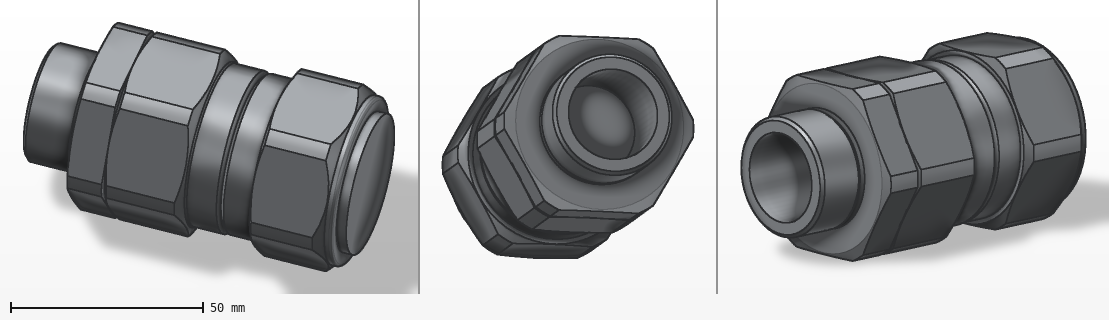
import cadquery as cq
import math

length = 90.25

across_flats = 46.0
corner_radius = 25.4

thread_radius = 16.0
thread_end_chamfer = 0.9
bore_radius = 11.9

runout_radius = 14.9
runout_start = 12.8
runout_floor_start = 13.9
runout_floor_end = 14.35

entry_hex_start = 15.0
entry_hex_end = 25.1
entry_face_radius = 22.5
entry_chamfer_length = 0.6
hex_face_radius = 22.9
hex_chamfer_length = 1.3
body_hex_end = 46.8
body_end_radius = 22.3
body_end_chamfer_length = 1.7

body_radius = 21.9
body_lead_length = 0.5
rear_body_radius = 21.7
groove_start = 55.5
groove_bottom = 56.3
groove_end = 57.4
groove_radius = 20.6

nut_start = 65.0
nut_end = 85.6
nut_end_radius = 22.8
nut_end_chamfer_length = 2.4
flange_end = 87.5
flange_edge_round = 0.8
seal_radius = 18.95


def turned(outline):
    """Solid of revolution about X from (x, radius) points, closed along the axis."""
    start_x = outline[0][0]
    end_x = outline[-1][0]
    points = [(start_x, 0)] + outline + [(end_x, 0)]
    return cq.Workplane("XY").polyline(points).close().revolve(360, (0, 0, 0), (1, 0, 0))


def turned_hexagon(start, end, start_face, end_face):
    """Hexagonal prism along X with corners turned down between two end outlines."""
    across_corners = across_flats / math.cos(math.pi / 6)
    prism = cq.Workplane("YZ", origin=(start, 0, 0)).polygon(6, across_corners).extrude(end - start)
    return prism.intersect(turned(start_face + end_face))


def start_chamfer(start, face_radius, chamfer_length):
    """Outline of a conical chamfer opening from a face up to the hexagon corners."""
    return [(start, face_radius), (start + chamfer_length, corner_radius)]


def end_chamfer(end, face_radius, chamfer_length):
    """Outline of a conical chamfer closing from the hexagon corners down to a face."""
    return [(end - chamfer_length, corner_radius), (end, face_radius)]


thread = turned([
    (0, thread_radius - thread_end_chamfer),
    (thread_end_chamfer, thread_radius),
    (runout_start, thread_radius),
    (runout_floor_start, runout_radius),
    (runout_floor_end, runout_radius),
    (entry_hex_start, thread_radius),
    (entry_hex_end, thread_radius),
])

entry_hex = turned_hexagon(
    entry_hex_start,
    entry_hex_end,
    start_chamfer(entry_hex_start, entry_face_radius, entry_chamfer_length),
    [(entry_hex_end, corner_radius)],
)

body_hex = turned_hexagon(
    entry_hex_end,
    body_hex_end,
    start_chamfer(entry_hex_end, hex_face_radius, hex_chamfer_length),
    end_chamfer(body_hex_end, body_end_radius, body_end_chamfer_length),
)

body = turned([
    (body_hex_end, body_end_radius),
    (body_hex_end + body_lead_length, body_radius),
    (groove_start, body_radius),
    (groove_bottom, groove_radius),
    (groove_end, rear_body_radius),
    (nut_start, rear_body_radius),
])

nut = turned_hexagon(
    nut_start,
    nut_end,
    start_chamfer(nut_start, hex_face_radius, hex_chamfer_length),
    end_chamfer(nut_end, nut_end_radius, nut_end_chamfer_length),
)
flange = turned([(nut_end, nut_end_radius), (flange_end, nut_end_radius)])
flange = flange.edges(">X").fillet(flange_edge_round)
seal = turned([(flange_end, seal_radius), (length, seal_radius)])

bore = turned([(0, bore_radius), (entry_hex_end, bore_radius)])

result = thread
for section in (entry_hex, body_hex, body, nut, flange, seal):
    result = result.union(section)
result = result.cut(bore)